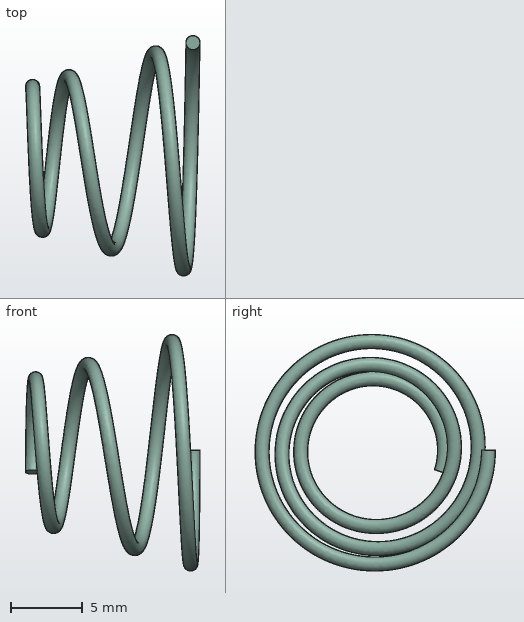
import cadquery as cq
import math

wire_diameter = 1.0
axial_travel = 11.2
large_coil_radius = 7.99
small_coil_radius = 4.93
large_end_angle = 450.0
middle_angle = 129.0
small_end_angle = 519.0
point_step = 12.0

total_angle = large_end_angle + middle_angle + small_end_angle
full_pitch_slope = axial_travel / (large_end_angle / 2 + middle_angle + small_end_angle / 2)


def axial_advance(angle):
    """Distance travelled toward -X after winding through the angle in degrees."""
    if angle < large_end_angle:
        return full_pitch_slope * angle**2 / (2 * large_end_angle)
    if angle < large_end_angle + middle_angle:
        return full_pitch_slope * (angle - large_end_angle / 2)
    remaining = total_angle - angle
    return axial_travel - full_pitch_slope * remaining**2 / (2 * small_end_angle)


def centreline_point(angle):
    """Point on a cone, so the radius shrinks in proportion to the axial advance."""
    advance = axial_advance(angle)
    taper = (large_coil_radius - small_coil_radius) / axial_travel
    radius = large_coil_radius - taper * advance
    turn = math.radians(angle)
    return cq.Vector(
        axial_travel / 2 - advance,
        radius * math.cos(turn),
        -radius * math.sin(turn),
    )


step_count = round(total_angle / point_step)
points = [centreline_point(total_angle * i / step_count) for i in range(step_count + 1)]
centreline = cq.Workplane("XY").spline(points)

start_plane = cq.Plane(origin=points[0], xDir=(1, 0, 0), normal=(0, 0, -1))
result = cq.Workplane(start_plane).circle(wire_diameter / 2).sweep(centreline, isFrenet=True)